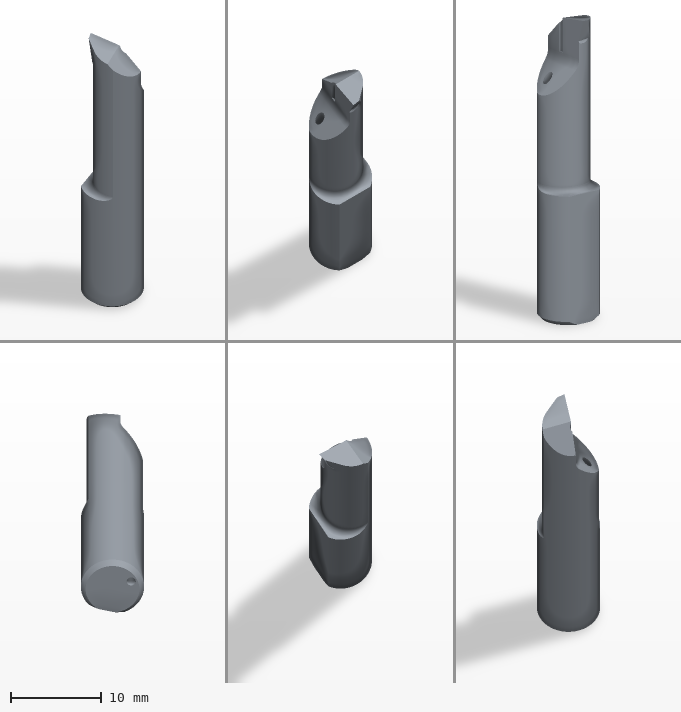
import cadquery as cq
import math

LENGTH = 35.0
SHANK_RADIUS = 3.5
SHANK_FLAT_X = -2.85
SHANK_TOP_Z = 15.05
BOTTOM_CHAMFER = 0.52
MARGIN = 35.0

NECK_CENTER_X = 1.12
NECK_RADIUS = 6.25 / 2
NECK_FILLET = 0.7

RELIEF_Y = 0.1
RAMP_BOTTOM_Z = 26.08
RAMP_ANGLE = math.radians(40)
RAMP_FILLET = 1.75

TIP_X = -2.73
FLANK_FOOT_X = -1.92
FLANK_FOOT_Z = 32.45
FLANK_END_X = -1.6
FLANK_END_Y = -1.68
FLANK_LEDGE_NORMAL = (-2, -0.35, 1)
SIDE_FACE_X = -1.0

RIDGE_INNER = (0.8, RELIEF_Y, 34.5)
RIDGE_OUTER = (0.98, -3.0, 34.15)
BACK_DROP = 2.65

HOLE_DIAMETER = 1.0
HOLE_X = 1.45
HOLE_Y = 1.8

GROOVE_X = 1.25
GROOVE_RADIUS = 0.42
GROOVE_DEPTH = 0.18
GROOVE_BOTTOM_Z = 30.45


def half_space(origin, normal):
    """Large block on the side of a plane that the normal points to."""
    plane = cq.Plane(origin=origin, normal=normal)
    return cq.Workplane(plane).rect(2 * MARGIN, 2 * MARGIN).extrude(MARGIN)


def plane_normal(a, b, c):
    """Normal of the plane through three points."""
    origin = cq.Vector(*a)
    return (cq.Vector(*b) - origin).cross(cq.Vector(*c) - origin).toTuple()


def make_shank():
    shank = cq.Workplane("XY").circle(SHANK_RADIUS).extrude(SHANK_TOP_Z)
    shank = shank.faces("<Z").chamfer(BOTTOM_CHAMFER)
    return shank.intersect(half_space((SHANK_FLAT_X, 0, 0), (1, 0, 0)))


def make_neck():
    """Eccentric neck with a concave foot, trimmed to the shank diameter."""
    foot_radius = NECK_RADIUS + NECK_FILLET
    foot_top = SHANK_TOP_Z + NECK_FILLET
    arc_offset = NECK_FILLET * (1 - math.sqrt(0.5))
    neck = (
        cq.Workplane("XZ", origin=(NECK_CENTER_X, 0, 0))
        .moveTo(0, SHANK_TOP_Z)
        .lineTo(foot_radius, SHANK_TOP_Z)
        .threePointArc((NECK_RADIUS + arc_offset, SHANK_TOP_Z + arc_offset), (NECK_RADIUS, foot_top))
        .lineTo(NECK_RADIUS, LENGTH)
        .lineTo(0, LENGTH)
        .close()
        .revolve(360, (0, 0), (0, 1))
    )
    return neck.intersect(cq.Workplane("XY").circle(SHANK_RADIUS).extrude(LENGTH))


def make_tip():
    """Block for the tip, with a 45 degree side face running into the neck."""
    side_y = -math.sqrt(NECK_RADIUS**2 - (SIDE_FACE_X - NECK_CENTER_X) ** 2)
    corner_y = side_y + SIDE_FACE_X - TIP_X
    return (
        cq.Workplane("XY", origin=(0, 0, FLANK_FOOT_Z))
        .moveTo(SIDE_FACE_X, RELIEF_Y)
        .lineTo(SIDE_FACE_X, side_y)
        .lineTo(TIP_X, corner_y)
        .lineTo(TIP_X, RELIEF_Y)
        .close()
        .extrude(LENGTH - FLANK_FOOT_Z)
    )


def make_relief():
    """Flat relief on the +Y half that runs out along a ramp."""
    corner_z = RAMP_BOTTOM_Z + (NECK_RADIUS - RELIEF_Y) / math.tan(RAMP_ANGLE)
    outer_y = 2 * SHANK_RADIUS
    outer_z = corner_z - (outer_y - RELIEF_Y) / math.tan(RAMP_ANGLE)
    relief = (
        cq.Workplane("YZ", origin=(-MARGIN / 2, 0, 0))
        .moveTo(RELIEF_Y, LENGTH + 0.35)
        .lineTo(RELIEF_Y, corner_z)
        .lineTo(outer_y, outer_z)
        .lineTo(outer_y, LENGTH + 0.35)
        .close()
        .extrude(MARGIN)
    )
    corner = cq.NearestToPointSelector((0, RELIEF_Y, corner_z))
    return relief.edges("|X").edges(corner).fillet(RAMP_FILLET)


def make_flank_cut():
    """Clearance below the cutting corner, ending on a small ledge."""
    foot = (FLANK_FOOT_X, RELIEF_Y, FLANK_FOOT_Z)
    end = (FLANK_END_X, FLANK_END_Y, FLANK_FOOT_Z)
    tip = (TIP_X, RELIEF_Y, LENGTH)
    outside = half_space(foot, plane_normal(foot, end, tip))
    return outside.intersect(half_space(foot, FLANK_LEDGE_NORMAL))


def make_groove():
    """Round-bottomed groove in the relief flat, open at the tip end."""
    return (
        cq.Workplane("XY", origin=(GROOVE_X, RELIEF_Y - GROOVE_DEPTH + GROOVE_RADIUS, GROOVE_BOTTOM_Z))
        .circle(GROOVE_RADIUS)
        .extrude(LENGTH - GROOVE_BOTTOM_Z)
    )


def trim_end(body):
    """Cut the two sloping end faces."""
    tip = (TIP_X, RELIEF_Y, LENGTH)
    back = (RIDGE_INNER[0] + BACK_DROP, RELIEF_Y, RIDGE_INNER[2] - BACK_DROP)
    body = body.cut(half_space(tip, plane_normal(tip, RIDGE_OUTER, RIDGE_INNER)))
    return body.cut(half_space(back, plane_normal(back, RIDGE_INNER, RIDGE_OUTER)))


body = make_shank().union(make_neck()).union(make_tip())
body = body.cut(make_relief()).cut(make_flank_cut()).cut(make_groove())
body = trim_end(body)
hole = cq.Workplane("XY").center(HOLE_X, HOLE_Y).circle(HOLE_DIAMETER / 2).extrude(LENGTH)
result = body.cut(hole)